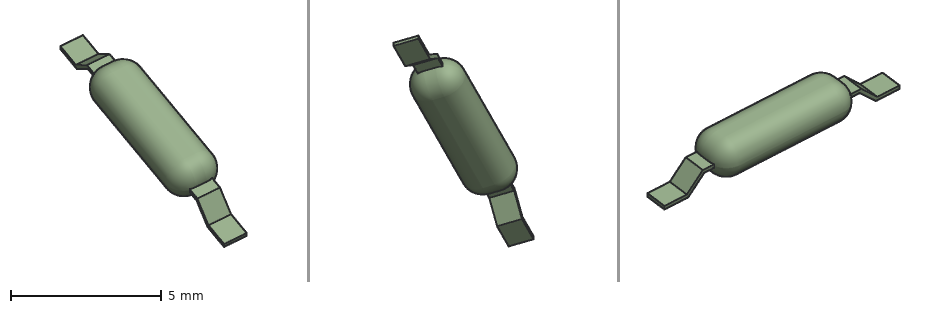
import cadquery as cq
import math

overall_length = 10.16
overall_height = 1.53

body_length = 5.95
body_width = 1.93
body_height = 1.52
body_round = 0.75
body_center_z = overall_height - body_height / 2

lead_width = 0.89
lead_thickness = 0.15
foot_length = 0.97
lead_rise = 0.69
bend_angle = 45.0
lead_embed = 0.41


def make_body():
    """Capsule-like block with every edge rounded."""
    block = cq.Workplane("XY").box(body_length, body_width, body_height)
    return block.edges().fillet(body_round).translate((0, 0, body_center_z))


def make_left_lead():
    """Strip with a flat foot, a sloped rise and a flat end inside the body."""
    foot_end_x = -overall_length / 2
    inner_end_x = -body_length / 2 + lead_embed
    slope_start_x = foot_end_x + foot_length
    slope_end_x = slope_start_x + lead_rise / math.tan(math.radians(bend_angle))
    miter = lead_thickness * math.tan(math.radians(bend_angle / 2))
    outline = [
        (foot_end_x, 0),
        (slope_start_x + miter, 0),
        (slope_end_x + miter, lead_rise),
        (inner_end_x, lead_rise),
        (inner_end_x, lead_rise + lead_thickness),
        (slope_end_x, lead_rise + lead_thickness),
        (slope_start_x, lead_thickness),
        (foot_end_x, lead_thickness),
    ]
    return cq.Workplane("XZ").polyline(outline).close().extrude(lead_width / 2, both=True)


left_lead = make_left_lead()
right_lead = left_lead.mirror("YZ")
result = make_body().union(left_lead).union(right_lead)